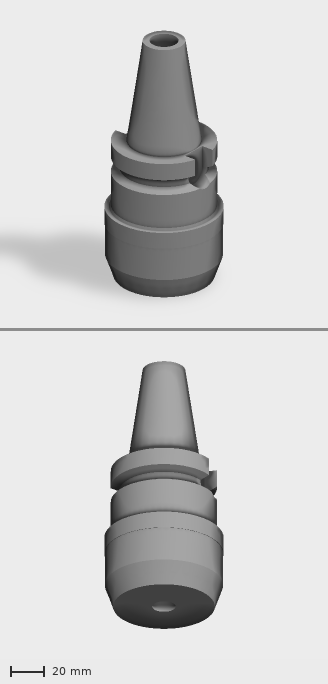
import cadquery as cq

total_height = 155.4
nose_top = 14
ring_bottom = 35.0
ring_top = 45.4
collar_bottom = 46.8
collar_top = 68.7
groove_bottom = 71.5
groove_top = 75.8
flange_bottom = 78.5
flange_top = 89.2
gauge_line = 90.1

nose_radius = 30.1
body_diameter = 70.1
body_radius = body_diameter / 2
ring_diameter = 70.7
ring_radius = ring_diameter / 2
collar_foot_radius = 32.6
flange_radius = 31.5
groove_radius = 26.5
gauge_radius = 22.2
taper_ratio = 7 / 24
taper_top_radius = gauge_radius - taper_ratio / 2 * (total_height - gauge_line)

bore_radius = 7.0
counterbore_radius = 8.5
counterbore_depth = 10.0
slot_width = 16.3
slot_floor_distance = 22.5
slot_bottom = 67.1


def turned_body():
    """Revolve the half profile of the holder about Z."""
    profile = [
        (0, 0),
        (nose_radius, 0),
        (body_radius, nose_top),
        (body_radius, ring_bottom),
        (ring_radius, ring_bottom),
        (ring_radius, ring_top),
        (collar_foot_radius, ring_top),
        (flange_radius, collar_bottom),
        (flange_radius, collar_top),
        (groove_radius, groove_bottom),
        (groove_radius, groove_top),
        (flange_radius, flange_bottom),
        (flange_radius, flange_top),
        (gauge_radius, flange_top),
        (gauge_radius, gauge_line),
        (taper_top_radius, total_height),
        (0, total_height),
    ]
    return cq.Workplane("XZ").polyline(profile).close().revolve(360, (0, 0), (0, 1))


def stepped_bore():
    """Through bore with a wider mouth at the small end of the taper."""
    bore = cq.Workplane("XY").circle(bore_radius).extrude(total_height)
    mouth = (
        cq.Workplane("XY", origin=(0, 0, total_height - counterbore_depth))
        .circle(counterbore_radius)
        .extrude(counterbore_depth)
    )
    return bore.union(mouth)


def drive_slot(side):
    """Round-ended slot, open at the flange face, on the +X or -X side."""
    half_width = slot_width / 2
    arc_center = slot_bottom + half_width
    return (
        cq.Workplane("YZ", origin=(side * slot_floor_distance, 0, 0))
        .moveTo(-half_width, flange_top)
        .lineTo(-half_width, arc_center)
        .threePointArc((0, slot_bottom), (half_width, arc_center))
        .lineTo(half_width, flange_top)
        .close()
        .extrude(side * (ring_radius - slot_floor_distance))
    )


result = turned_body().cut(stepped_bore())
for side in (-1, 1):
    result = result.cut(drive_slot(side))